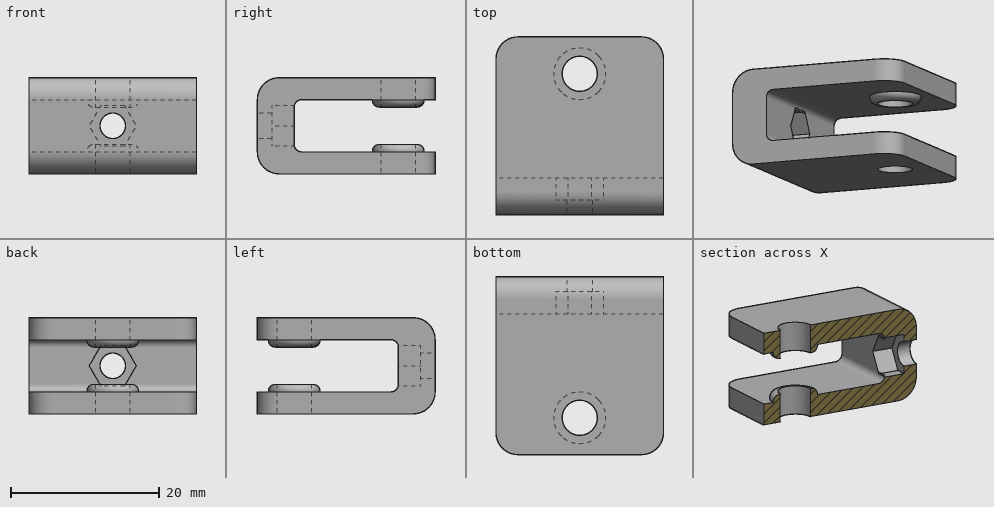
import cadquery as cq
import math

width = 22.6
length = 24.0
height = 13.0

arm_thickness = 3.0
web_thickness = 5.0
outer_radius = 3.0
slot_corner_radius = 1.0

pin_hole_diameter = 4.7
pin_hole_inset = 5.0
washer_diameter = 7.0
washer_height = 1.0
washer_edge_radius = 0.95

web_hole_diameter = 3.4
nut_across_flats = 5.5
nut_corner_diameter = nut_across_flats / math.cos(math.pi / 6)
nut_pocket_depth = 3.0

front_y = -length / 2
back_y = length / 2
pin_y = back_y - pin_hole_inset
slot_height = height - 2 * arm_thickness
slot_length = length - web_thickness


def make_body():
    """Block with rounded vertical back corners and rounded front edges, cut by the slot."""
    block = cq.Workplane("XY").box(width, length, height)
    block = block.edges("|Z and >Y").fillet(outer_radius)
    block = block.edges("|X and <Y").fillet(outer_radius)
    slot = (
        cq.Workplane("XY")
        .box(width, slot_length, slot_height)
        .edges("|X and <Y")
        .fillet(slot_corner_radius)
        .translate((0, back_y - slot_length / 2, 0))
    )
    return block.cut(slot)


def make_lower_washer():
    """Round pad on the lower arm with its top edge rounded."""
    return (
        cq.Workplane("XY", origin=(0, pin_y, -slot_height / 2))
        .circle(washer_diameter / 2)
        .extrude(washer_height)
        .faces(">Z")
        .edges()
        .fillet(washer_edge_radius)
    )


lower_washer = make_lower_washer()
upper_washer = lower_washer.mirror("XY")

pin_hole = (
    cq.Workplane("XY", origin=(0, pin_y, -height / 2))
    .circle(pin_hole_diameter / 2)
    .extrude(height)
)


def make_web_hole():
    """Stepped cutter for the screw shank and its nut pocket."""
    shank = (
        cq.Workplane("XZ", origin=(0, front_y + web_thickness, 0))
        .circle(web_hole_diameter / 2)
        .extrude(web_thickness)
    )
    nut_pocket = (
        cq.Workplane("XZ", origin=(0, front_y + web_thickness, 0))
        .polygon(6, nut_corner_diameter)
        .extrude(nut_pocket_depth)
    )
    return shank.union(nut_pocket)


body = make_body().union(lower_washer).union(upper_washer)
result = body.cut(pin_hole).cut(make_web_hole())